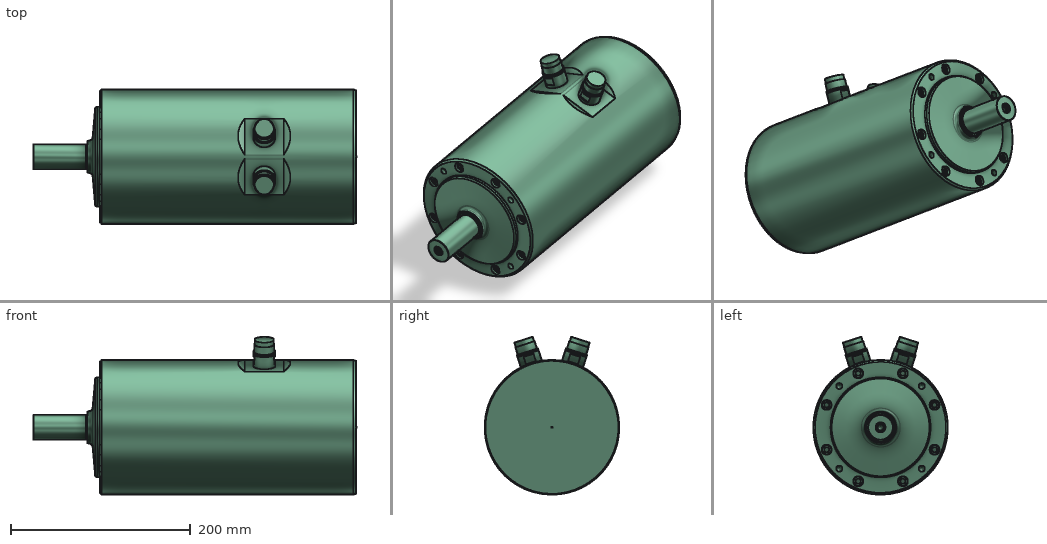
import cadquery as cq
import math

MOTOR_LENGTH = 360.0
NECK_X = 58.5
NOSE_X = 60.0
FLARE_X = 62.5
SPIGOT_X = 68.8
SPIGOT_CHAMFER_LENGTH = 2.0
SPIGOT_CHAMFER_DEPTH = 1.5
FLANGE_X = 74.0
REAR_NUB_LENGTH = 0.7

BODY_DIA = 150.0
SHAFT_DIA = 28.0
SHAFT_NECK_DIA = 27.5
SEAL_RECESS_DIA = 32.0
NOSE_FRONT_DIA = 35.0
NOSE_DIA = 36.7
FLARE_RADIUS = 3.2
SPIGOT_DIA = 111.5
REAR_NUB_DIA = 1.5

FRONT_CHAMFER = 2.0
REAR_TAPER_LENGTH = 3.2
REAR_TAPER_DEPTH = 1.0
SHAFT_CHAMFER = 0.5
SEAL_RECESS_DEPTH = 1.0

CENTRE_MOUTH_DIA = 11.0
CENTRE_BORE_DIA = 9.0
CENTRE_TAP_DIA = 7.0
CENTRE_MOUTH_DEPTH = 2.5
CENTRE_BORE_DEPTH = 5.0
CENTRE_TAP_DEPTH = 18.0

HOLE_CIRCLE_DIA = 130.0
SCREW_COUNT = 8
SCREW_BORE_DIA = 11.0
SCREW_BORE_DEPTH = 7.2
SCREW_HEAD_DIA = 10.0
SCREW_HEAD_RECESS = 3.2
SCREW_SOCKET_DIA = 5.8
SCREW_SOCKET_DEPTH = 3.0
TAPPED_COUNT = 4
TAPPED_DIA = 7.0
TAPPED_DEPTH = 14.5
DRILL_TIP_ANGLE = 118.0

CONNECTOR_X = 257.0
CONNECTOR_TILT = 18.0
SEAT_HEIGHT = 72.0
SEAT_LENGTH = 43.2
SEAT_SLOPE = 22.0

PLUG_DIA = 25.0
SHELL_TOP = 14.0
RING_BOTTOM = 14.8
RING_TOP = 16.5
GROOVE_DIA = 23.0
SLEEVE_DIA = 22.5
SLEEVE_TOP = 25.2
TIP_DIA = 21.5
PLUG_HEIGHT = 30.5
FLATS_WIDTH = 22.0
FLATS_BOTTOM = 3.5
FLATS_TOP = 12.2


def drill(dia, depth, x, y=0.0, z=0.0):
    """Blind drilled hole along +X with a conical bottom, starting at (x, y, z)."""
    tip = dia / 2 / math.tan(math.radians(DRILL_TIP_ANGLE / 2))
    profile = (
        cq.Workplane("XY")
        .polyline([(0, 0), (0, dia / 2), (depth, dia / 2), (depth + tip, 0)])
        .close()
    )
    return profile.revolve(360, (0, 0, 0), (1, 0, 0)).translate((x, y, z))


def rod(dia, start_x, end_x, y=0.0, z=0.0):
    """Cylinder along X between two stations."""
    return cq.Workplane("YZ", origin=(start_x, y, z)).circle(dia / 2).extrude(end_x - start_x)


def flange_positions(count):
    """(y, z) points of evenly spaced holes, placed half a step away from the Y axis."""
    step = 2 * math.pi / count
    angles = [(i + 0.5) * step for i in range(count)]
    radius = HOLE_CIRCLE_DIA / 2
    return [(radius * math.cos(a), radius * math.sin(a)) for a in angles]


def turned_motor():
    rear_x = MOTOR_LENGTH - REAR_NUB_LENGTH
    body_r = BODY_DIA / 2
    nose_r = NOSE_DIA / 2
    spigot_r = SPIGOT_DIA / 2
    flare_end_x = FLARE_X + FLARE_RADIUS
    flare_end_r = nose_r + FLARE_RADIUS
    flare_mid = (
        FLARE_X + FLARE_RADIUS * math.sin(math.pi / 4),
        flare_end_r - FLARE_RADIUS * math.cos(math.pi / 4),
    )
    profile = (
        cq.Workplane("XY")
        .moveTo(0, 0)
        .lineTo(0, SHAFT_DIA / 2 - SHAFT_CHAMFER)
        .lineTo(SHAFT_CHAMFER, SHAFT_DIA / 2)
        .lineTo(NECK_X, SHAFT_DIA / 2)
        .lineTo(NECK_X, SHAFT_NECK_DIA / 2)
        .lineTo(NOSE_X + SEAL_RECESS_DEPTH, SHAFT_NECK_DIA / 2)
        .lineTo(NOSE_X + SEAL_RECESS_DEPTH, SEAL_RECESS_DIA / 2)
        .lineTo(NOSE_X, SEAL_RECESS_DIA / 2)
        .lineTo(NOSE_X, NOSE_FRONT_DIA / 2)
        .lineTo(FLARE_X, nose_r)
        .threePointArc(flare_mid, (flare_end_x, flare_end_r))
        .lineTo(SPIGOT_X, spigot_r - SPIGOT_CHAMFER_DEPTH)
        .lineTo(SPIGOT_X + SPIGOT_CHAMFER_LENGTH, spigot_r)
        .lineTo(FLANGE_X, spigot_r)
        .lineTo(FLANGE_X, body_r - FRONT_CHAMFER)
        .lineTo(FLANGE_X + FRONT_CHAMFER, body_r)
        .lineTo(rear_x - REAR_TAPER_LENGTH, body_r)
        .lineTo(rear_x, body_r - REAR_TAPER_DEPTH)
        .lineTo(rear_x, REAR_NUB_DIA / 2)
        .lineTo(MOTOR_LENGTH, REAR_NUB_DIA / 2)
        .lineTo(MOTOR_LENGTH, 0)
        .close()
    )
    return profile.revolve(360, (0, 0, 0), (1, 0, 0))


def centre_hole():
    """Stepped centre hole in the shaft end with a drilled core."""
    mouth = rod(CENTRE_MOUTH_DIA, 0, CENTRE_MOUTH_DEPTH)
    bore = rod(CENTRE_BORE_DIA, 0, CENTRE_BORE_DEPTH)
    return mouth.union(bore).union(drill(CENTRE_TAP_DIA, CENTRE_TAP_DEPTH, 0))


def screw_recess(y, z):
    """Counterbore around a sunk screw head with its drive socket."""
    head_x = FLANGE_X + SCREW_HEAD_RECESS
    bore = rod(SCREW_BORE_DIA, FLANGE_X, FLANGE_X + SCREW_BORE_DEPTH, y, z)
    head = rod(SCREW_HEAD_DIA, head_x, FLANGE_X + SCREW_BORE_DEPTH, y, z)
    socket = rod(SCREW_SOCKET_DIA, head_x, head_x + SCREW_SOCKET_DEPTH, y, z)
    return bore.cut(head).union(socket)


def placed_on_body(shape, side):
    """Move a shape built upright at the origin to the connector station, tilted to one side."""
    return shape.rotate((0, 0, 0), (1, 0, 0), side * CONNECTOR_TILT).translate((CONNECTOR_X, 0, 0))


def seat_pocket(side):
    """Flat seat with sloping end walls, cut across the body surface."""
    top = BODY_DIA / 2
    depth = top - SEAT_HEIGHT
    run = depth / math.tan(math.radians(SEAT_SLOPE))
    half = SEAT_LENGTH / 2
    pocket = (
        cq.Workplane("XZ")
        .polyline([(-half, SEAT_HEIGHT), (half, SEAT_HEIGHT), (half + run, top), (-half - run, top)])
        .close()
        .extrude(top, both=True)
    )
    return placed_on_body(pocket, side)


def build_motor():
    motor = turned_motor().cut(centre_hole())
    for y, z in flange_positions(SCREW_COUNT):
        motor = motor.cut(screw_recess(y, z))
    for y, z in flange_positions(TAPPED_COUNT):
        motor = motor.cut(drill(TAPPED_DIA, TAPPED_DEPTH, FLANGE_X, y, z))
    for side in (-1, 1):
        motor = motor.cut(seat_pocket(side))
    return motor


def disc(dia, bottom, top):
    """Upright cylinder between two heights."""
    return cq.Workplane("XY", origin=(0, 0, bottom)).circle(dia / 2).extrude(top - bottom)


def wrench_flats():
    """Material outside the two flats that face along X."""
    stock = 2 * PLUG_DIA
    height = FLATS_TOP - FLATS_BOTTOM
    block = cq.Workplane("XY", origin=(0, 0, FLATS_BOTTOM)).rect(stock, stock).extrude(height)
    core = cq.Workplane("XY", origin=(0, 0, FLATS_BOTTOM)).rect(FLATS_WIDTH, stock).extrude(height)
    return block.cut(core)


def build_connector(side):
    plug = (
        disc(PLUG_DIA, 0, SHELL_TOP)
        .cut(wrench_flats())
        .union(disc(GROOVE_DIA, SHELL_TOP, RING_BOTTOM))
        .union(disc(PLUG_DIA, RING_BOTTOM, RING_TOP))
        .union(disc(SLEEVE_DIA, RING_TOP, SLEEVE_TOP))
        .union(disc(TIP_DIA, SLEEVE_TOP, PLUG_HEIGHT))
    )
    return placed_on_body(plug.translate((0, 0, SEAT_HEIGHT)), side)


motor = build_motor()
connectors = [build_connector(side) for side in (-1, 1)]

result = cq.Compound.makeCompound([motor.val(), *[c.val() for c in connectors]])